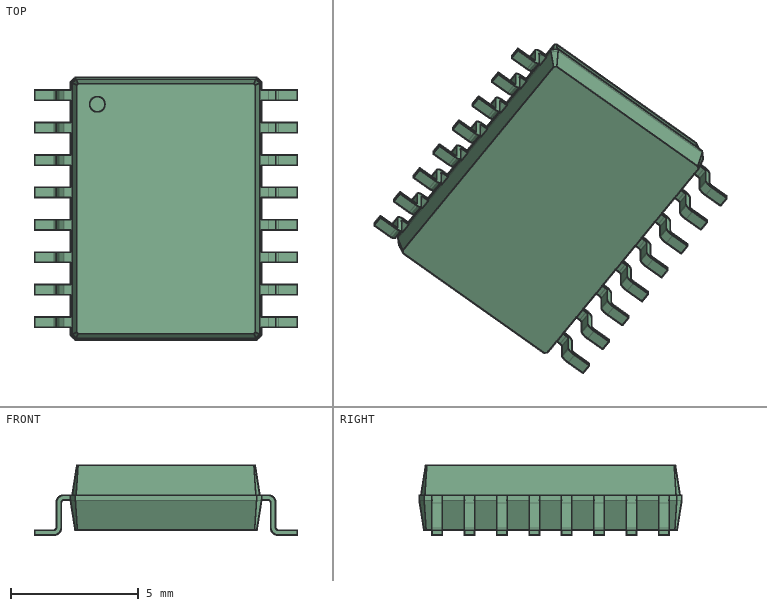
import cadquery as cq
import math

overall_width = 10.3
overall_height = 2.75
standoff = 0.2

body_width = 7.5
body_length = 10.3
corner_chamfer = 0.2
draft_angle = 9.0
upper_step = 0.07

leads_per_side = 8
lead_pitch = 1.27
lead_width = 0.41
lead_thickness = 0.2
bend_inner_radius = 0.1
foot_length = 0.85
lead_embed = 0.5

dimple_diameter = 0.6
dimple_depth = 0.1
dimple_edge_offset = 1.06

band_bottom = (standoff + overall_height - lead_thickness) / 2
band_top = band_bottom + lead_thickness
bend_outer_radius = bend_inner_radius + lead_thickness


def chamfered_outline(z, inset):
    """Chamfered body rectangle at height z, with every side moved inward by inset."""
    half_width = body_width / 2 - inset
    half_length = body_length / 2 - inset
    chamfer = corner_chamfer - (2 - math.sqrt(2)) * inset
    points = [
        (half_width - chamfer, half_length),
        (half_width, half_length - chamfer),
        (half_width, chamfer - half_length),
        (half_width - chamfer, -half_length),
        (chamfer - half_width, -half_length),
        (-half_width, chamfer - half_length),
        (-half_width, half_length - chamfer),
        (chamfer - half_width, half_length),
    ]
    return cq.Wire.makePolygon([cq.Vector(x, y, z) for x, y in points], close=True)


def body_layer(bottom_z, bottom_inset, top_z, top_inset):
    """Flat-sided layer of the body between two chamfered outlines."""
    outlines = [chamfered_outline(bottom_z, bottom_inset), chamfered_outline(top_z, top_inset)]
    return cq.Workplane(cq.Solid.makeLoft(outlines, True))


def make_body():
    """Parting band with a drafted half above it and another below it."""
    draft_slope = math.tan(math.radians(draft_angle))
    upper_inset = upper_step + (overall_height - band_top) * draft_slope
    lower_inset = (band_bottom - standoff) * draft_slope
    band = body_layer(band_bottom, 0, band_top, 0)
    upper = body_layer(band_top, upper_step, overall_height, upper_inset)
    lower = body_layer(standoff, lower_inset, band_bottom, 0)
    return band.union(upper).union(lower)


def make_lead():
    """Gull-wing lead on the -X side, centred on y = 0."""
    tip_x = -overall_width / 2
    upright_outer_x = tip_x + foot_length
    upright_inner_x = upright_outer_x + lead_thickness
    inner_end_x = -body_width / 2 + lead_embed
    profile = [
        (tip_x, 0),
        (upright_inner_x, 0),
        (upright_inner_x, band_bottom),
        (inner_end_x, band_bottom),
        (inner_end_x, band_top),
        (upright_outer_x, band_top),
        (upright_outer_x, lead_thickness),
        (tip_x, lead_thickness),
    ]
    lead = cq.Workplane("XZ").polyline(profile).close().extrude(lead_width / 2, both=True)

    def edge_at(x, z):
        return cq.selectors.NearestToPointSelector((x, 0, z))

    outer_bends = lead.edges(edge_at(upright_inner_x, 0)).add(
        lead.edges(edge_at(upright_outer_x, band_top))
    )
    lead = outer_bends.fillet(bend_outer_radius)
    inner_bends = lead.edges(edge_at(upright_inner_x, band_bottom)).add(
        lead.edges(edge_at(upright_outer_x, lead_thickness))
    )
    return inner_bends.fillet(bend_inner_radius)


def make_dimple():
    """Cutter for the round pin 1 mark."""
    return (
        cq.Workplane("XY", origin=(0, 0, overall_height - dimple_depth))
        .center(dimple_edge_offset - body_width / 2, body_length / 2 - dimple_edge_offset)
        .circle(dimple_diameter / 2)
        .extrude(dimple_depth)
    )


result = make_body().cut(make_dimple())
left_lead = make_lead()
right_lead = left_lead.mirror("YZ")
for index in range(leads_per_side):
    lead_y = (index - (leads_per_side - 1) / 2) * lead_pitch
    for lead in (left_lead, right_lead):
        result = result.union(lead.translate((0, lead_y, 0)))